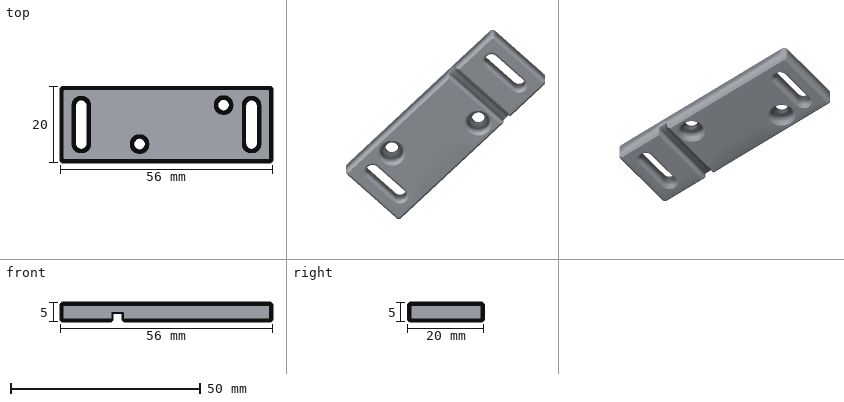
import cadquery as cq

length = 56.0
width = 20.0
thickness = 5.0
edge_chamfer = 0.6

groove_width = 2.6
groove_depth = 2.2
groove_x = -12.9

bore_diameter = 3.4

slot_centre_distance = 10.0
slot_length = slot_centre_distance + bore_diameter
slot_x = 22.5

counterbore_diameter = 6.0
counterbore_depth = 3.0
hole_y = 5.15
hole_positions = [(-7.1, -hole_y), (15.1, hole_y)]


def make_plate():
    """Rectangular plate with chamfered vertical corners."""
    block = cq.Workplane("XY").box(length, width, thickness, centered=(True, True, False))
    return block.edges("|Z").chamfer(edge_chamfer)


def make_groove():
    """Bar that cuts the groove across the full width of the underside."""
    return (
        cq.Workplane("XY")
        .center(groove_x, 0)
        .box(groove_width, width, groove_depth, centered=(True, True, False))
    )


def make_slots():
    """Two round-ended bars that cut the slots through the plate."""
    return (
        cq.Workplane("XY")
        .pushPoints([(-slot_x, 0), (slot_x, 0)])
        .slot2D(slot_length, bore_diameter, 90)
        .extrude(thickness)
    )


def make_hole_cylinders(diameter, depth):
    """Cylinders at the screw hole positions, rising from the underside."""
    return cq.Workplane("XY").pushPoints(hole_positions).circle(diameter / 2).extrude(depth)


plate = make_plate()
plate = plate.cut(make_groove())
plate = plate.cut(make_slots())
plate = plate.cut(make_hole_cylinders(bore_diameter, thickness))
plate = plate.cut(make_hole_cylinders(counterbore_diameter, counterbore_depth))

result = plate.faces("<Z or >Z").edges().chamfer(edge_chamfer)